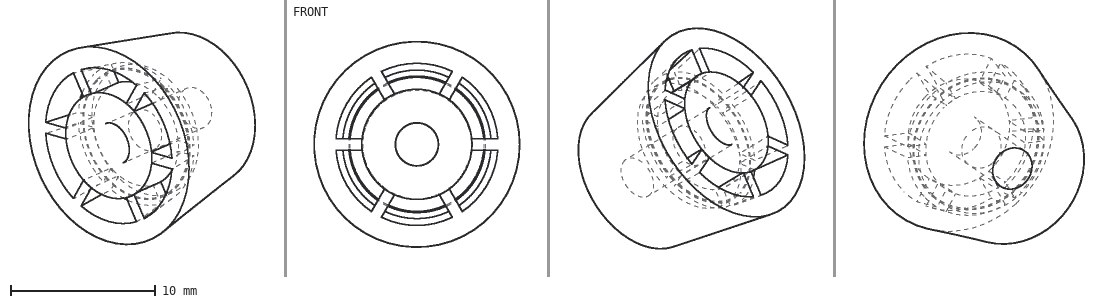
import cadquery as cq
import math

length = 9.53
wide_radius = 7.14
draft = math.tan(math.radians(10))
narrow_radius = wide_radius - length * draft
narrow_edge_fillet = 0.21

pocket_radius = 5.62
pocket_depth = 3.0
pocket_floor_radius = 5.15
rib_count = 6
rib_width = 0.8

hub_radius = 3.77
collar_radius = 3.82
collar_length = 0.39
flange_radius = 4.74
flange_thickness = 1.0
flange_chamfer = 0.09
bore_radius = 1.48
bore_mouth_fillet = 0.64
flange_back = pocket_depth + flange_thickness


def revolve_about_y(points):
    """Revolve a closed (radius, Y) outline around the Y axis."""
    return cq.Workplane("XY").polyline(points).close().revolve(360, (0, 0, 0), (0, 1, 0))


def cylinder_along_y(radius, start, end):
    return cq.Workplane("XZ", origin=(0, start, 0)).circle(radius).extrude(start - end)


def make_bushing_blank():
    """Bushing without its bore: flared collar, hub and flange."""
    return revolve_about_y([
        (0, 0),
        (collar_radius, 0),
        (hub_radius, collar_length),
        (hub_radius, pocket_depth),
        (flange_radius - flange_chamfer, pocket_depth),
        (flange_radius, pocket_depth + flange_chamfer),
        (flange_radius, flange_back),
        (0, flange_back),
    ])


def make_bushing():
    bore = cylinder_along_y(bore_radius, 0, flange_back)
    bushing = make_bushing_blank().cut(bore)
    bore_mouth = cq.selectors.RadiusNthSelector(0)
    return bushing.faces("<Y").edges(bore_mouth).fillet(bore_mouth_fillet)


def make_ribs(envelope):
    """Radial ribs, trimmed to the tapered pocket."""
    ribs = cq.Workplane("XY")
    for index in range(rib_count):
        rib = (
            cq.Workplane("XY")
            .box(pocket_radius, pocket_depth, rib_width, centered=(False, False, True))
            .rotate((0, 0, 0), (0, 1, 0), index * 360 / rib_count)
        )
        ribs = ribs.add(rib)
    return ribs.combine().intersect(envelope)


def make_housing():
    outside = revolve_about_y([
        (0, 0),
        (wide_radius, 0),
        (narrow_radius, length),
        (0, length),
    ]).faces(">Y").edges().fillet(narrow_edge_fillet)
    pocket = revolve_about_y([
        (0, 0),
        (pocket_radius, 0),
        (pocket_floor_radius, pocket_depth),
        (0, pocket_depth),
    ])
    flange_recess = cylinder_along_y(flange_radius, pocket_depth, flange_back)
    screw_hole = cylinder_along_y(bore_radius, flange_back, length)
    housing = outside.cut(pocket).union(make_ribs(pocket))
    return housing.cut(make_bushing_blank()).cut(flange_recess).cut(screw_hole)


housing = make_housing()
bushing = make_bushing()

result = cq.Compound.makeCompound([housing.solids().val(), bushing.solids().val()])